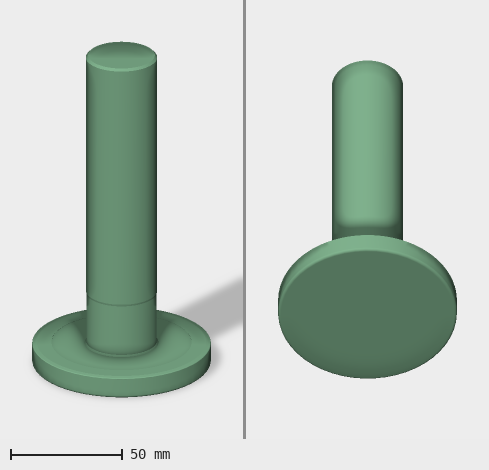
import cadquery as cq

total_height = 150.0

flange_diameter = 80.0
flange_height = 9.9
rim_bevel_width = 2.1
rim_bevel_height = 0.3
rim_fillet = 0.5
flange_underside_diameter = 77.5
flange_bottom_fillet = (flange_diameter - flange_underside_diameter) / 2
recess_diameter = 62.7
recess_depth = 0.2

stem_diameter = 31.5
stem_top = 34.2
collar_width = 0.8
collar_height = 0.8

bar_diameter = 32.0
bar_top_chamfer = 1.0
bar_foot_bevel_height = 0.9
bar_foot_bevel_width = (bar_diameter - stem_diameter) / 2

stem_bottom = flange_height - recess_depth


def make_flange():
    """Round base with a shallow rim bevel, a rounded bottom edge and a very shallow recess on top."""
    outer_radius = flange_diameter / 2
    recess_radius = recess_diameter / 2
    profile = [
        (0, 0),
        (outer_radius, 0),
        (outer_radius, flange_height - rim_bevel_height),
        (outer_radius - rim_bevel_width, flange_height),
        (recess_radius, flange_height),
        (recess_radius, stem_bottom),
        (0, stem_bottom),
    ]
    disc = cq.Workplane("XZ").polyline(profile).close().revolve(360, (0, 0), (0, 1))
    disc = disc.faces("<Z").edges().fillet(flange_bottom_fillet)
    return disc.edges(cq.selectors.RadiusNthSelector(-1)).edges(">Z").fillet(rim_fillet)


def make_stem():
    """Cylinder whose foot widens into a sloped collar."""
    radius = stem_diameter / 2
    profile = [
        (0, stem_bottom),
        (radius + collar_width, stem_bottom),
        (radius, stem_bottom + collar_height),
        (radius, stem_top),
        (0, stem_top),
    ]
    return cq.Workplane("XZ").polyline(profile).close().revolve(360, (0, 0), (0, 1))


def make_bar():
    """Long cylinder, chamfered on top and bevelled at its foot down to the stem diameter."""
    radius = bar_diameter / 2
    profile = [
        (0, stem_top),
        (radius - bar_foot_bevel_width, stem_top),
        (radius, stem_top + bar_foot_bevel_height),
        (radius, total_height - bar_top_chamfer),
        (radius - bar_top_chamfer, total_height),
        (0, total_height),
    ]
    return cq.Workplane("XZ").polyline(profile).close().revolve(360, (0, 0), (0, 1))


flange = make_flange()
stem = make_stem()
bar = make_bar()

result = cq.Compound.makeCompound([flange.val(), stem.val(), bar.val()])